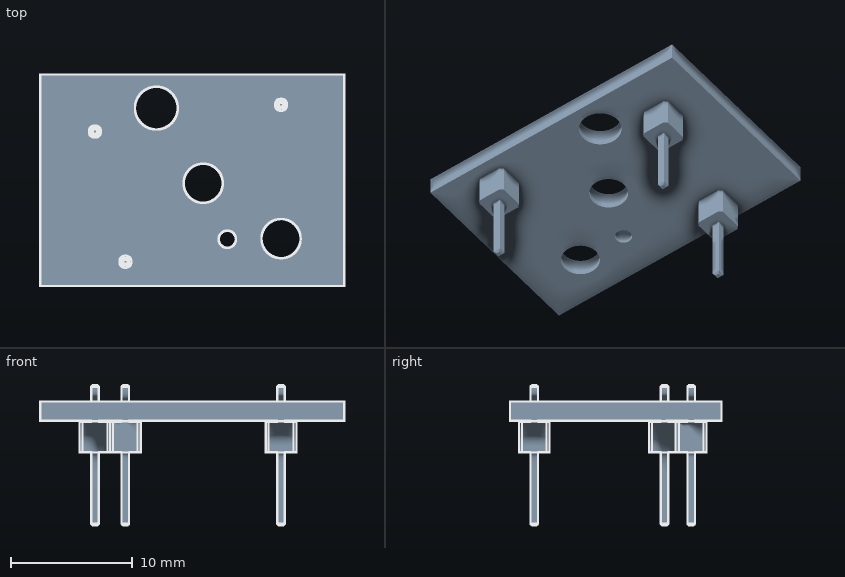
import cadquery as cq

board_length = 25.0
board_width = 17.4
board_thickness = 1.6
pin_hole_diameter = 1.0

through_holes = [
    (3.5, -2.95, 5.93),
    (3.2, 0.9, -0.25),
    (3.2, 7.3, -4.8),
    (1.4, 2.88, -4.85),
]

header_positions = [(-8.0, 4.0), (7.3, 6.2), (-5.5, -6.7)]
housing_size = 2.54
housing_corner_chamfer = 0.254
pin_width = 0.64
pin_length = 11.54
pin_tip_chamfer = 0.16
pin_above_housing = 3.0
header_gap = 0.05


def make_board():
    """Rectangular plate with the plain holes and one clearance hole per pin."""
    plate = cq.Workplane("XY").rect(board_length, board_width).extrude(board_thickness)
    for diameter, x, y in through_holes:
        plate = plate.cut(cq.Workplane("XY").center(x, y).circle(diameter / 2).extrude(board_thickness))
    pin_holes = (
        cq.Workplane("XY")
        .pushPoints(header_positions)
        .circle(pin_hole_diameter / 2)
        .extrude(board_thickness)
    )
    return plate.cut(pin_holes)


def make_header(x, y):
    """Housing with chamfered upright edges and a square pin through it, as one solid."""
    housing_top = -header_gap
    housing = (
        cq.Workplane("XY", origin=(x, y, housing_top))
        .rect(housing_size, housing_size)
        .extrude(-housing_size)
        .edges("|Z")
        .chamfer(housing_corner_chamfer)
    )
    pin = (
        cq.Workplane("XY", origin=(x, y, housing_top + pin_above_housing))
        .rect(pin_width, pin_width)
        .extrude(-pin_length)
        .faces("<Z or >Z")
        .chamfer(pin_tip_chamfer)
    )
    return housing.union(pin)


board = make_board()
headers = [make_header(x, y) for x, y in header_positions]

result = cq.Compound.makeCompound([board.val(), *[header.solids().val() for header in headers]])